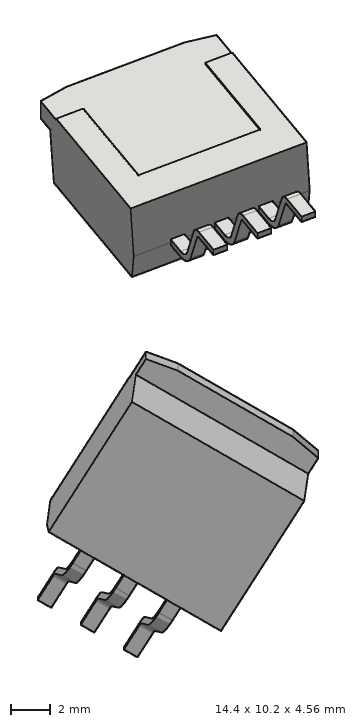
import cadquery as cq
import math

overall_length = 14.35
body_width = 10.16
body_height = 4.56

body_top_end = 9.61
body_bottom_start = 1.66
body_bottom_end = 9.76
body_apex_x = 9.93

tab_recess = 0.09
tab_underside_depth = 1.26
tab_body_x = 1.28
tab_corner_length = 0.3
tab_corner_width = 1.68
body_top_start = 1.92
pad_end = 7.63
pad_width = 7.03

lead_count = 3
lead_pitch = 2.54
lead_width = 0.8
lead_thickness = 0.37
lead_exit_z = 1.56
lead_tip_z = body_height - lead_thickness / 2
lower_bend_start = 10.93
lower_bend_radius = 0.93
upper_bend_radius = 0.36
lead_angle = math.radians(71)
lead_embed = 0.43

tab_top = body_height - tab_recess
tab_bottom = body_height - tab_underside_depth


def make_body():
    """Side profile of body and tab, extruded across the width."""
    profile = [
        (0, tab_bottom),
        (tab_body_x, tab_bottom),
        (body_bottom_start, 0),
        (body_bottom_end, 0),
        (body_apex_x, lead_exit_z),
        (body_top_end, body_height),
        (body_top_start, body_height),
        (body_top_start, tab_top),
        (0, tab_top),
    ]
    return cq.Workplane("XZ").polyline(profile).close().extrude(body_width / 2, both=True)


def make_pad_recess():
    """Shallow recess in the body top that exposes the tab face."""
    return (
        cq.Workplane("XY", origin=(0, 0, tab_top))
        .rect(2 * pad_end, pad_width)
        .extrude(tab_recess)
    )


def make_tab_corner(side):
    """Wedge removed from one free corner of the tab."""
    edge_y = side * body_width / 2
    corner = [
        (0, edge_y),
        (tab_corner_length, edge_y),
        (0, edge_y - side * tab_corner_width),
    ]
    return cq.Workplane("XY").polyline(corner).close().extrude(body_height)


def make_lead(y):
    """Rectangular strip swept along a path with two opposite bends."""
    start_x = body_apex_x - lead_embed
    direction_x = math.cos(lead_angle)
    direction_z = math.sin(lead_angle)

    def bend_point(radius, angle):
        return radius * math.sin(angle), radius * (1 - math.cos(angle))

    lower_mid = bend_point(lower_bend_radius, lead_angle / 2)
    lower_end = bend_point(lower_bend_radius, lead_angle)
    upper_mid = bend_point(upper_bend_radius, lead_angle / 2)
    upper_end = bend_point(upper_bend_radius, lead_angle)

    slope_rise = lead_tip_z - lead_exit_z - lower_end[1] - upper_end[1]
    slope_run = slope_rise * direction_x / direction_z
    upper_start_x = lower_bend_start + lower_end[0] + slope_run
    upper_start_z = lead_tip_z - upper_end[1]
    upper_end_x = upper_start_x + upper_end[0]

    path = (
        cq.Workplane("XZ", origin=(0, y, 0))
        .moveTo(start_x, lead_exit_z)
        .lineTo(lower_bend_start, lead_exit_z)
        .threePointArc(
            (lower_bend_start + lower_mid[0], lead_exit_z + lower_mid[1]),
            (lower_bend_start + lower_end[0], lead_exit_z + lower_end[1]),
        )
        .lineTo(upper_start_x, upper_start_z)
        .threePointArc(
            (upper_end_x - upper_mid[0], lead_tip_z - upper_mid[1]),
            (upper_end_x, lead_tip_z),
        )
        .lineTo(overall_length, lead_tip_z)
    )
    return (
        cq.Workplane("YZ", origin=(start_x, y, lead_exit_z))
        .rect(lead_width, lead_thickness)
        .sweep(path)
    )


result = make_body().cut(make_pad_recess())
for side in (-1, 1):
    result = result.cut(make_tab_corner(side))
for index in range(lead_count):
    lead_y = (index - (lead_count - 1) / 2) * lead_pitch
    result = result.union(make_lead(lead_y))